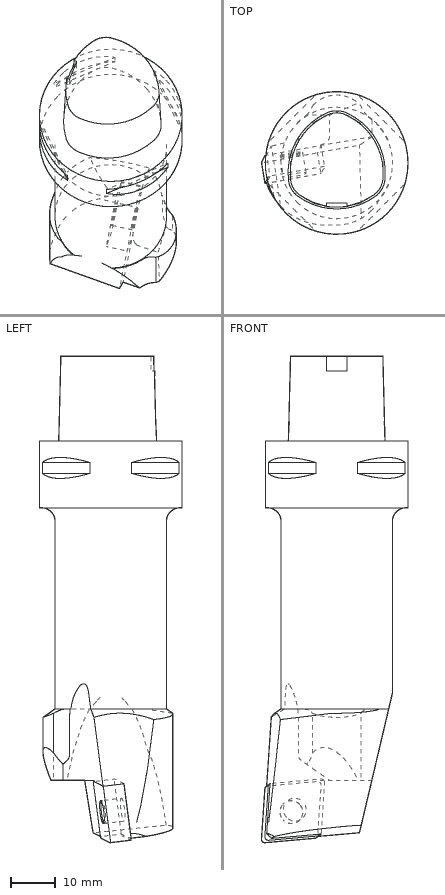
import cadquery as cq
import math


SHANK_LENGTH = 19.0
SHANK_WIDTH = 22.0
LOBE_RISE = 0.7
LOBE_RADIUS = 5.3
SHANK_TAPER = math.degrees(math.atan(1 / 40))
KEYWAY_WIDTH = 4.6
KEYWAY_HEIGHT = 3.3
KEYWAY_FLOOR_Y = -9.0

FLANGE_RADIUS = 16.0
FLANGE_HEIGHT = 15.0
BODY_RADIUS = 12.5
NECK_RADIUS = 3.0
GRIP_Z = -6.05
GRIP_FLOOR_DISTANCE = 14.1
GRIP_FLOOR_WIDTH = 2.4
GRIP_MOUTH_WIDTH = 4.7

HEAD_TOP = -60.0
HEAD_LENGTH = 32.0
HEAD_CONE_SLOPE = 0.71
HEAD_CORE_RADIUS = 12.6
HEAD_FRONT_Y = -13.9
HEAD_LEFT_CENTER_X = -2.6
HEAD_RIGHT_RADIUS = 11.0
RIGHT_BLEND_ANGLE = -35.0
CORE_RIGHT_ANGLE = -36.0
HEAD_BACK_Y = 15.2
BACK_LOBE_RADIUS = 7.3
LOBE_BLEND_ANGLE = 42.0
CORE_LOBE_ANGLE = 53.8
BLEND_RADIUS = 5.0
SHOULDER_Y = 6.0
BACK_SLOPE_START_Z = -56.5
BACK_SLOPE = 0.236

TIP_X = -16.93
TIP_Z = -90.08
RADIAL_RISE = 0.168
AXIAL_RISE = 0.12
LEAD_ANGLE = 5.0
INSERT_EDGE = 12.9
INSERT_THICKNESS = 4.76
INSERT_NOSE = 0.8
INSERT_HOLE_DIAMETER = 5.16
SEAT_CORNER_CUT = 1.2
PIN_RECESS = 0.3
SEAT_INSET = 0.4

FLUTE_FLOOR_X = -8.6
FLUTE_RUNOUT_Z = -62.0
RUNOUT_RADIUS = 15.0
RUNOUT_ANGLE = 60.0
FLUTE_END_Z = -71.1
FLUTE_END_SLOPE = 0.7
FLUTE_BOTTOM_Z = -76.0
FLUTE_FILLET = 2.0
FLUTE_END_ROUND = 1.8
LOBE_CUT_Y = 10.7
LOBE_CUT_RISE = 1.65

FAR = 60.0


def polar(radius, degrees):
    angle = math.radians(degrees)
    return (radius * math.cos(angle), radius * math.sin(angle))


def make_shank():
    """Constant-width three-lobed taper built from six tangent arcs, one lobe toward +Y."""
    center_offset = SHANK_WIDTH / 2 + LOBE_RISE - LOBE_RADIUS
    flat_radius = SHANK_WIDTH - LOBE_RADIUS

    def lobe_point(lobe_angle, normal_angle):
        cx, cy = polar(center_offset, lobe_angle)
        dx, dy = polar(LOBE_RADIUS, normal_angle)
        return (cx + dx, cy + dy)

    outline = cq.Workplane("XY").moveTo(*lobe_point(90, 60))
    for lobe_angle in (90, 210, 330):
        outline = outline.threePointArc(
            lobe_point(lobe_angle, lobe_angle), lobe_point(lobe_angle, lobe_angle + 30)
        )
        flat_middle = polar(flat_radius - center_offset, lobe_angle + 60)
        outline = outline.threePointArc(flat_middle, lobe_point(lobe_angle + 120, lobe_angle + 90))
    shank = outline.close().extrude(SHANK_LENGTH, taper=SHANK_TAPER)
    keyway = cq.Workplane("XY").box(
        KEYWAY_WIDTH, FAR, KEYWAY_HEIGHT, centered=(True, False, False)
    ).translate((0, KEYWAY_FLOOR_Y - FAR, SHANK_LENGTH - KEYWAY_HEIGHT))
    return shank.cut(keyway)


def make_flange_and_body():
    neck_bottom = -FLANGE_HEIGHT - NECK_RADIUS
    neck_top_radius = BODY_RADIUS + NECK_RADIUS
    diagonal = NECK_RADIUS * math.sqrt(0.5)
    return (
        cq.Workplane("XZ")
        .lineTo(FLANGE_RADIUS, 0)
        .lineTo(FLANGE_RADIUS, -FLANGE_HEIGHT)
        .lineTo(neck_top_radius, -FLANGE_HEIGHT)
        .threePointArc((neck_top_radius - diagonal, neck_bottom + diagonal), (BODY_RADIUS, neck_bottom))
        .lineTo(BODY_RADIUS, HEAD_TOP)
        .lineTo(0, HEAD_TOP)
        .close()
        .revolve(360, (0, 0), (0, 1))
    )


def make_grip_slots():
    """Four trapezoidal slots across the flange, at 45 degrees to the axes."""
    outer_distance = 2 * FLANGE_RADIUS - GRIP_FLOOR_DISTANCE
    half_floor = GRIP_FLOOR_WIDTH / 2
    half_outer = GRIP_MOUTH_WIDTH - half_floor
    slot = (
        cq.Workplane("XZ")
        .polyline([
            (GRIP_FLOOR_DISTANCE, GRIP_Z - half_floor),
            (outer_distance, GRIP_Z - half_outer),
            (outer_distance, GRIP_Z + half_outer),
            (GRIP_FLOOR_DISTANCE, GRIP_Z + half_floor),
        ])
        .close()
        .extrude(FLANGE_RADIUS, both=True)
    )
    return [slot.rotate((0, 0, 0), (0, 0, 1), angle) for angle in (45, 135, 225, 315)]


tool_plane = cq.Plane(
    origin=(TIP_X, 0, TIP_Z),
    xDir=(1, RADIAL_RISE, 0),
    normal=(RADIAL_RISE, -1, AXIAL_RISE),
)
end_direction = polar(1, LEAD_ANGLE)
side_direction = polar(1, 90 - LEAD_ANGLE)


def rhombus(edge):
    """Corner points of the 80 degree rhombus with its cutting corner at the tool-plane origin."""
    end_x, end_y = (edge * part for part in end_direction)
    side_x, side_y = (edge * part for part in side_direction)
    return [(0, 0), (end_x, end_y), (end_x + side_x, end_y + side_y), (side_x, side_y)]


def make_insert_blank():
    return (
        cq.Workplane(tool_plane)
        .polyline(rhombus(INSERT_EDGE))
        .close()
        .extrude(INSERT_THICKNESS)
        .edges(cq.selectors.ParallelDirSelector(tool_plane.zDir))
        .fillet(INSERT_NOSE)
    )


def insert_bore(start_depth):
    """Cylinder filling the insert's hole from a depth below the rake face to the seat."""
    far_corner = rhombus(INSERT_EDGE)[2]
    return (
        cq.Workplane(tool_plane)
        .workplane(offset=start_depth)
        .center(far_corner[0] / 2, far_corner[1] / 2)
        .circle(INSERT_HOLE_DIAMETER / 2)
        .extrude(INSERT_THICKNESS - start_depth)
    )


def make_insert(blank):
    """Insert with its clamping hole through the centre of the rhombus."""
    return blank.cut(insert_bore(0))


def make_head_column():
    """Upright column with the outline of the head: wide on -X, a lobe on +Y, the core circle elsewhere."""
    left_radius = -HEAD_FRONT_Y
    right_center_y = HEAD_FRONT_Y + HEAD_RIGHT_RADIUS
    lobe_center_y = HEAD_BACK_Y - BACK_LOBE_RADIUS

    front_x, front_y = polar(HEAD_RIGHT_RADIUS, RIGHT_BLEND_ANGLE)
    front_mid_x, front_mid_y = polar(HEAD_RIGHT_RADIUS, (RIGHT_BLEND_ANGLE - 90) / 2)
    lobe_x, lobe_y = polar(BACK_LOBE_RADIUS, LOBE_BLEND_ANGLE)
    lobe_y += lobe_center_y
    neck_x, neck_y = polar(HEAD_CORE_RADIUS, CORE_LOBE_ANGLE)

    shoulder_core_x = -math.sqrt(HEAD_CORE_RADIUS ** 2 - SHOULDER_Y ** 2)
    shoulder_left_x = HEAD_LEFT_CENTER_X - math.sqrt(left_radius ** 2 - SHOULDER_Y ** 2)
    shoulder_angle = math.degrees(math.atan2(SHOULDER_Y, shoulder_core_x))
    left_mid_x, left_mid_y = polar(left_radius, 225)

    return (
        cq.Workplane("XY", origin=(0, 0, HEAD_TOP))
        .moveTo(HEAD_LEFT_CENTER_X, HEAD_FRONT_Y)
        .lineTo(0, HEAD_FRONT_Y)
        .threePointArc((front_mid_x, right_center_y + front_mid_y), (front_x, right_center_y + front_y))
        .radiusArc(polar(HEAD_CORE_RADIUS, CORE_RIGHT_ANGLE), BLEND_RADIUS)
        .threePointArc((HEAD_CORE_RADIUS, 0), (neck_x, neck_y))
        .radiusArc((lobe_x, lobe_y), BLEND_RADIUS)
        .threePointArc((0, HEAD_BACK_Y), (-lobe_x, lobe_y))
        .radiusArc((-neck_x, neck_y), BLEND_RADIUS)
        .threePointArc(
            polar(HEAD_CORE_RADIUS, (180 - CORE_LOBE_ANGLE + shoulder_angle) / 2), (shoulder_core_x, SHOULDER_Y)
        )
        .lineTo(shoulder_left_x, SHOULDER_Y)
        .threePointArc((HEAD_LEFT_CENTER_X + left_mid_x, left_mid_y), (HEAD_LEFT_CENTER_X, HEAD_FRONT_Y))
        .close()
        .extrude(-HEAD_LENGTH)
    )


def make_head():
    """Head column under its top cone, trimmed parallel to the insert's side and end faces."""
    top_cone = (
        cq.Workplane("XZ", origin=(0, 0, HEAD_TOP))
        .lineTo(BODY_RADIUS, 0)
        .lineTo(BODY_RADIUS + HEAD_LENGTH / HEAD_CONE_SLOPE, -HEAD_LENGTH)
        .lineTo(0, -HEAD_LENGTH)
        .close()
        .revolve(360, (0, 0), (0, 1))
    )
    seat_corner = tool_plane.toWorldCoords((SEAT_INSET, SEAT_INSET, 0)).toTuple()
    insert_sides = (
        cq.Workplane(tool_plane)
        .polyline([(x + SEAT_INSET, y + SEAT_INSET) for x, y in rhombus(FAR)])
        .close()
        .extrude(FAR, both=True)
        .edges(cq.selectors.NearestToPointSelector(seat_corner))
        .chamfer(SEAT_CORNER_CUT)
    )
    return make_head_column().intersect(top_cone).intersect(insert_sides)


def make_back_slope():
    """Removes the +X side of the tool below a slope that runs inward toward the bottom."""
    drop = BACK_SLOPE_START_Z - HEAD_TOP + HEAD_LENGTH
    return (
        cq.Workplane("XZ")
        .polyline([
            (BODY_RADIUS, BACK_SLOPE_START_Z),
            (BODY_RADIUS - BACK_SLOPE * drop, BACK_SLOPE_START_Z - drop),
            (FAR, BACK_SLOPE_START_Z - drop),
            (FAR, BACK_SLOPE_START_Z),
        ])
        .close()
        .extrude(FAR, both=True)
    )


def rake_height(x, z):
    """Y of the rake face at the given X and Z."""
    return RADIAL_RISE * (x - TIP_X) + AXIAL_RISE * (z - TIP_Z)


def make_flute():
    """Chip space above the rake face: an upright floor with a curved run-out, open below its end wall."""
    runout_angle = math.radians(RUNOUT_ANGLE)
    runout_x = FLUTE_FLOOR_X - RUNOUT_RADIUS * (1 - math.cos(runout_angle))
    runout_z = FLUTE_RUNOUT_Z + RUNOUT_RADIUS * math.sin(runout_angle)
    level_x = FLUTE_FLOOR_X + (FLUTE_END_Z - FLUTE_BOTTOM_Z) / FLUTE_END_SLOPE
    profile = (
        cq.Workplane("XZ")
        .moveTo(FLUTE_FLOOR_X, FLUTE_RUNOUT_Z)
        .lineTo(FLUTE_FLOOR_X, FLUTE_END_Z)
        .lineTo(level_x, FLUTE_BOTTOM_Z)
        .lineTo(FAR, FLUTE_BOTTOM_Z)
        .lineTo(FAR, 2 * TIP_Z)
        .lineTo(-FAR, 2 * TIP_Z)
        .lineTo(-FAR, runout_z)
        .lineTo(runout_x, runout_z)
        .radiusArc((FLUTE_FLOOR_X, FLUTE_RUNOUT_Z), RUNOUT_RADIUS)
        .close()
        .extrude(FAR, both=True)
        .edges(cq.selectors.NearestToPointSelector((FLUTE_FLOOR_X, 0, FLUTE_END_Z)))
        .fillet(FLUTE_END_ROUND)
    )
    above_rake = cq.Workplane(tool_plane).rect(4 * FAR, 4 * FAR).extrude(-2 * FAR)
    flute = profile.intersect(above_rake)
    floor_middle_z = (FLUTE_RUNOUT_Z + FLUTE_END_Z) / 2
    floor_edge = cq.selectors.NearestToPointSelector(
        (FLUTE_FLOOR_X, rake_height(FLUTE_FLOOR_X, floor_middle_z), floor_middle_z)
    )
    return flute.edges(floor_edge).fillet(FLUTE_FILLET)


def make_lobe_cut():
    """Slanted trim under the back lobe, meeting the flute's end wall along a line at constant Y."""
    below_slant = cq.Workplane(
        cq.Plane(
            origin=(FLUTE_FLOOR_X, LOBE_CUT_Y, FLUTE_END_Z),
            xDir=(1, 0, -FLUTE_END_SLOPE),
            normal=(-FLUTE_END_SLOPE, LOBE_CUT_RISE, -1),
        )
    ).rect(2 * FAR, 2 * FAR).extrude(FAR)
    behind = cq.Workplane("XZ", origin=(0, LOBE_CUT_Y, TIP_Z)).rect(2 * FAR, 2 * FAR).extrude(-FAR)
    return below_slant.intersect(behind)


insert_blank = make_insert_blank()
insert = make_insert(insert_blank)

holder = make_flange_and_body()
for slot in make_grip_slots():
    holder = holder.cut(slot)
holder = holder.union(make_shank()).union(make_head())
holder = holder.cut(make_back_slope())
holder = holder.cut(make_flute())
holder = holder.cut(make_lobe_cut())
holder = holder.cut(insert_blank)
holder = holder.union(insert_bore(PIN_RECESS))

result = cq.Compound.makeCompound([holder.val(), insert.val()])